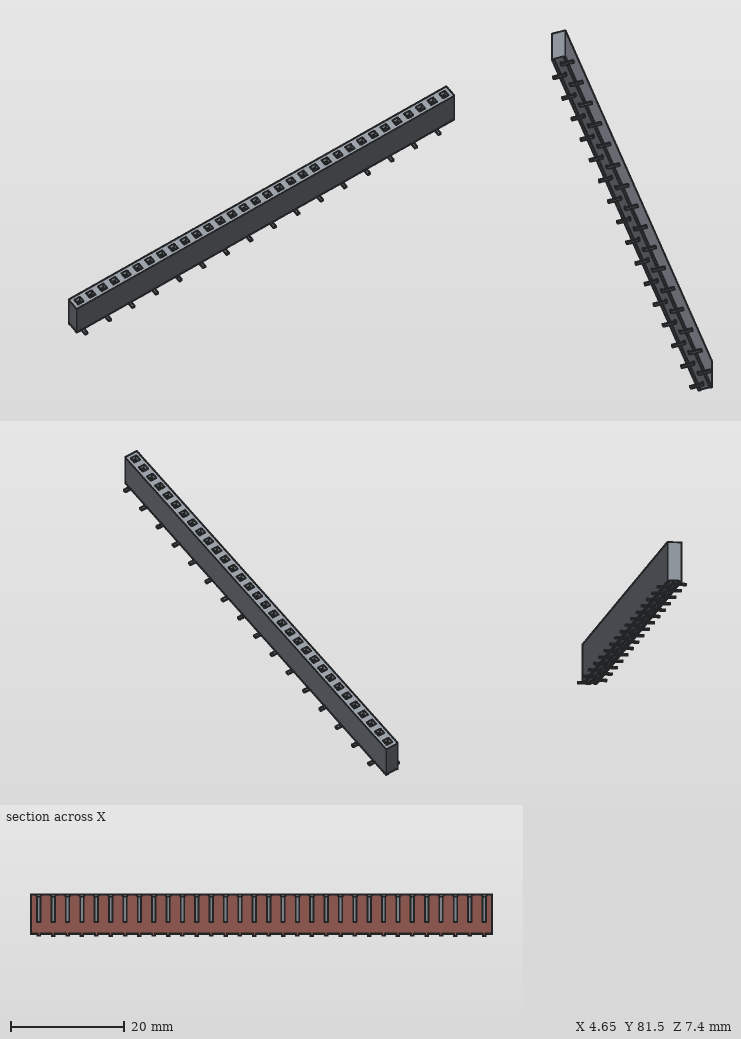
import cadquery as cq

body_length = 81.5
body_width = 2.5
overall_height = 7.4
standoff = 0.31

channel_width = 1.7
channel_depth = 0.2

contact_count = 32
row_length = 78.7
pitch = row_length / (contact_count - 1)

funnel_size = 1.2
funnel_depth = 0.4
hole_width = 0.4
hole_length = 0.6
hole_depth = 4.9

tail_span = 4.65
tail_width = 0.53
tail_thickness = 0.25
bend_radius = 0.3

body_top = overall_height / 2
tail_bottom = -body_top
body_bottom = tail_bottom + standoff
channel_ceiling = body_bottom + channel_depth


def make_body():
    """Long bar with the channel cut end to end through its underside."""
    bar = (
        cq.Workplane("XY", origin=(0, 0, body_bottom))
        .rect(body_width, body_length)
        .extrude(body_top - body_bottom)
    )
    channel = (
        cq.Workplane("XY", origin=(0, 0, body_bottom))
        .rect(channel_width, body_length)
        .extrude(channel_depth)
    )
    return bar.cut(channel)


def make_contact_hole():
    """Rectangular hole with a tapered lead-in, opening upward at the body top."""
    funnel = (
        cq.Workplane("XY", origin=(0, 0, body_top))
        .rect(funnel_size, funnel_size)
        .workplane(offset=-funnel_depth)
        .rect(hole_width, hole_length)
        .loft(ruled=True)
    )
    hole = (
        cq.Workplane("XY", origin=(0, 0, body_top - hole_depth))
        .rect(hole_width, hole_length)
        .extrude(hole_depth)
    )
    return funnel.union(hole)


def make_tail():
    """L-shaped tail: a stub down from the channel, then a foot reaching out to +X."""
    stub_side = tail_thickness / 2
    tail_top = tail_bottom + tail_thickness
    tail_end = tail_span / 2
    return (
        cq.Workplane("XZ", origin=(0, tail_width / 2, 0))
        .moveTo(-stub_side, channel_ceiling)
        .lineTo(-stub_side, tail_bottom + bend_radius)
        .radiusArc((bend_radius - stub_side, tail_bottom), -bend_radius)
        .lineTo(tail_end, tail_bottom)
        .lineTo(tail_end, tail_top)
        .lineTo(stub_side, tail_top)
        .lineTo(stub_side, channel_ceiling)
        .close()
        .extrude(tail_width)
    )


hole_tool = make_contact_hole().val()
tail_right = make_tail().val()
tail_left = tail_right.rotate((0, 0, 0), (0, 0, 1), 180)

holes = []
tails = []
for index in range(contact_count):
    contact_position = cq.Vector(0, row_length / 2 - index * pitch, 0)
    tail = tail_left if index % 2 == 0 else tail_right
    holes.append(hole_tool.translate(contact_position))
    tails.append(tail.translate(contact_position))

body = make_body().val().cut(*holes)
result = cq.Workplane(body.fuse(*tails).Solids()[0])